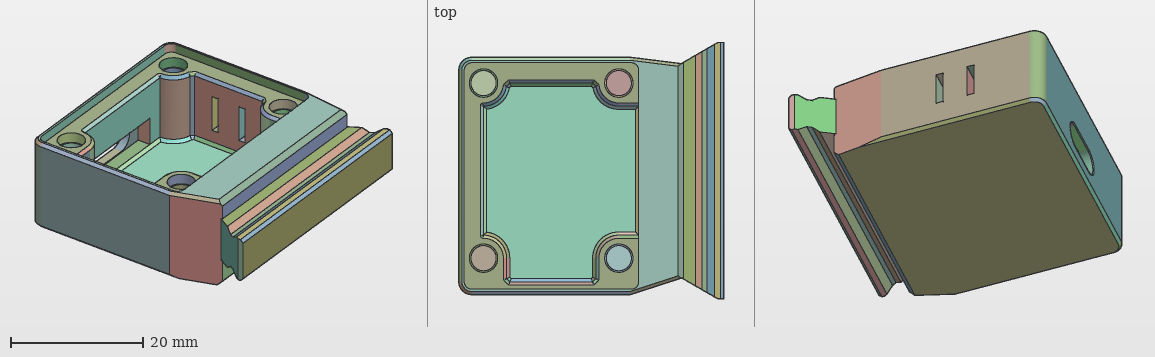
import cadquery as cq
import math


box_length = 34.0
box_height = 15.0
front_y = -18.8
back_y = 17.2
taper_start_x = 25.98
taper_end_half_width = 16.2
corner_radius = 2.0
edge_chamfer = 0.5
rail_end_chamfer = 0.8

rim_width = 0.85
recess_end_x = 27.25
recess_depth = 1.5
recess_radius = corner_radius - rim_width
ledge_z = box_height - recess_depth

hole_start_x = 3.77
hole_end_x = 24.25
hole_y = 13.25
hole_diameter = 4.3
hole_depth = 1.7
seat_diameter = 3.8

floor_z = 2.0
cavity_front_y = -16.82
post_radius = 3.5
cavity_chamfer = 0.5

cable_y = -0.1
cable_width = 10.0
cable_height = 4.3
cable_z = 4.8
cable_chamfer = 0.15

connector_start_x = 1.6
connector_width = 14.45
connector_bottom_z = floor_z + cavity_chamfer
connector_top_z = 2 * cable_z - connector_bottom_z

slot_width = 1.12
slot_bottom_z = 4.55
slot_top_z = 10.5
slot_spacing = 4.98
slot_middle_x = (rim_width + recess_end_x) / 2

rail_tip_x = 40.15
rail_width = 38.83
rail_bottom_z = 4.6
rail_top_z = 11.92
rail_flare_end_x = 39.23
rail_flare_angle = 30.0
rail_tip_chamfer = 0.5
rail_root_x = 32.1
groove_start_x = 35.85
groove_floor_start_x = 36.85
groove_floor_end_x = 37.6
groove_end_x = 38.75
groove_depth = 0.8


def make_body():
    """Box with a tapered rail end, rounded plain end and bevelled edges."""
    outline = [
        (0, front_y),
        (taper_start_x, front_y),
        (box_length, -taper_end_half_width),
        (box_length, taper_end_half_width),
        (taper_start_x, back_y),
        (0, back_y),
    ]
    body = cq.Workplane("XY").polyline(outline).close().extrude(box_height)
    body = body.edges("|Z and <X").fillet(corner_radius)
    body = body.faces(">X").edges("|Y").chamfer(rail_end_chamfer)
    body = body.faces(">Z").edges("not >X").chamfer(edge_chamfer)
    straight_bottom = cq.selectors.BoxSelector(
        (-0.4, front_y - 0.4, -0.4), (taper_start_x - 0.4, back_y + 0.4, 0.4)
    )
    return body.faces("<Z").edges(straight_bottom).chamfer(edge_chamfer)


def make_rail():
    """Grooved bar whose ends flare outward toward the tip."""
    half_width = rail_width / 2
    flare = (rail_flare_end_x - rail_root_x) * math.tan(math.radians(rail_flare_angle))
    root_half_width = half_width - flare
    plan = [
        (rail_root_x, -root_half_width),
        (rail_flare_end_x, -half_width),
        (rail_tip_x, -half_width),
        (rail_tip_x, half_width),
        (rail_flare_end_x, half_width),
        (rail_root_x, root_half_width),
    ]
    rail = (
        cq.Workplane("XY", origin=(0, 0, rail_bottom_z))
        .polyline(plan).close()
        .extrude(rail_top_z - rail_bottom_z)
    )
    rail = rail.faces(">X").edges("|Y").chamfer(rail_tip_chamfer)
    for edge_z, inward in ((rail_bottom_z, 1), (rail_top_z, -1)):
        groove_floor_z = edge_z + inward * groove_depth
        groove = (
            cq.Workplane("XZ")
            .moveTo(groove_start_x, edge_z)
            .lineTo(groove_floor_start_x, groove_floor_z)
            .lineTo(groove_floor_end_x, groove_floor_z)
            .lineTo(groove_end_x, edge_z)
            .close()
            .extrude(half_width, both=True)
        )
        rail = rail.cut(groove)
    return rail


def make_recess():
    """Shallow rounded pocket that takes the lid."""
    corner = (rim_width, front_y + rim_width)
    return (
        cq.Workplane("XY", origin=(0, 0, ledge_z))
        .moveTo(*corner)
        .rect(recess_end_x - rim_width, back_y - front_y - 2 * rim_width, centered=False)
        .extrude(recess_depth)
        .edges("|Z").fillet(recess_radius)
    )


def make_cavity():
    """Main cavity, leaving a rounded post around each magnet hole."""
    post_height = ledge_z - floor_z
    run_out = 2 * cavity_chamfer
    cavity = (
        cq.Workplane("XY", origin=(hole_start_x, cavity_front_y, floor_z))
        .rect(recess_end_x + run_out - hole_start_x, hole_y - cavity_front_y, centered=False)
        .extrude(post_height)
    )
    post_plane = cq.Workplane("XY", origin=(0, 0, floor_z))
    overlap = 2 * post_radius
    arc_offset = post_radius * math.sqrt(0.5)
    for x, side_x in ((hole_start_x, -1), (hole_end_x, 1)):
        for y, side_y in ((-hole_y, -1), (hole_y, 1)):
            post = (
                post_plane
                .moveTo(x - side_x * post_radius, y + side_y * overlap)
                .lineTo(x - side_x * post_radius, y)
                .threePointArc(
                    (x - side_x * arc_offset, y - side_y * arc_offset),
                    (x, y - side_y * post_radius),
                )
                .lineTo(x + side_x * overlap, y - side_y * post_radius)
                .lineTo(x + side_x * overlap, y + side_y * overlap)
                .close()
                .extrude(post_height)
            )
            cavity = cavity.cut(post)
    cavity = cavity.faces("<Y or >Y").edges("|Z").chamfer(cavity_chamfer)

    rim = (
        cavity.faces(">Z").wires().toPending()
        .extrude(cavity_chamfer, combine=False, taper=-45)
        .translate((0, 0, -cavity_chamfer))
    )
    beyond_recess = (
        cq.Workplane("XY", origin=(recess_end_x, front_y, 0))
        .rect(box_length, back_y - front_y, centered=False)
        .extrude(box_height)
    )
    cavity = cavity.union(rim).cut(beyond_recess)
    return cavity.faces("<Z").chamfer(cavity_chamfer)


def make_magnet_holes():
    """Stepped holes in the tops of the four corner posts."""
    centers = [(x, y) for x in (hole_start_x, hole_end_x) for y in (-hole_y, hole_y)]
    top = cq.Workplane("XY", origin=(0, 0, ledge_z)).pushPoints(centers)
    wide = top.circle(hole_diameter / 2).extrude(-hole_depth)
    seat = top.circle(seat_diameter / 2).extrude(floor_z - ledge_z)
    return wide.union(seat)


def make_cable_opening():
    """Obround through the plain end wall, slightly bevelled at its mouth."""
    mouth = (
        cq.Workplane("YZ", origin=(0, cable_y, cable_z))
        .slot2D(cable_width + 2 * cable_chamfer, cable_height + 2 * cable_chamfer)
        .extrude(cable_chamfer, taper=45)
    )
    return (
        cq.Workplane("YZ", origin=(0, cable_y, cable_z))
        .slot2D(cable_width, cable_height)
        .extrude(connector_start_x)
        .union(mouth)
    )


def make_connector_pocket():
    """Wider pocket between the cable opening and the cavity."""
    return cq.Workplane("XY", origin=(connector_start_x, cable_y, connector_bottom_z)).box(
        hole_start_x - connector_start_x,
        connector_width,
        connector_top_z - connector_bottom_z,
        centered=(False, True, False),
    )


def make_wall_slots():
    """Upright slots through the back wall."""
    return (
        cq.Workplane("XZ", origin=(0, hole_y, (slot_bottom_z + slot_top_z) / 2))
        .pushPoints([(slot_middle_x + side * slot_spacing / 2, 0) for side in (-1, 1)])
        .rect(slot_width, slot_top_z - slot_bottom_z)
        .extrude(hole_y - back_y)
    )


result = (
    make_body()
    .union(make_rail())
    .cut(make_recess())
    .cut(make_cavity())
    .cut(make_magnet_holes())
    .cut(make_cable_opening())
    .cut(make_connector_pocket())
    .cut(make_wall_slots())
)